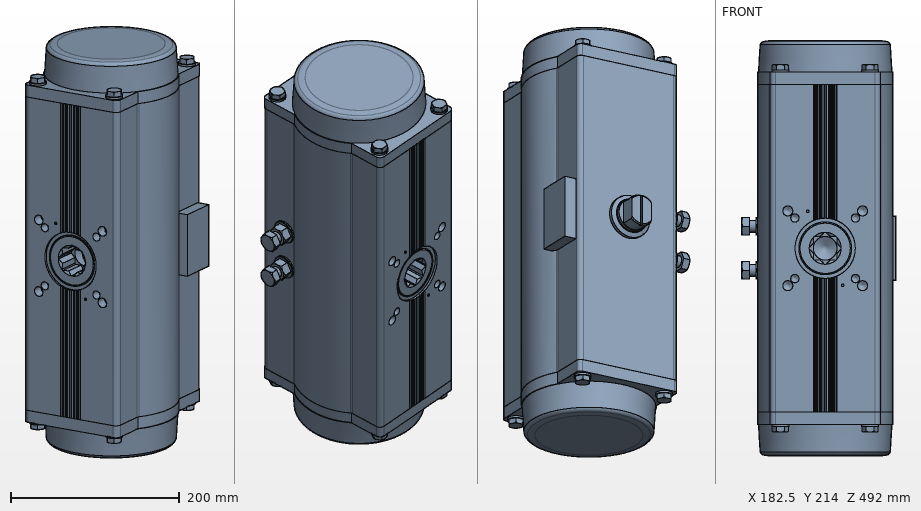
import cadquery as cq
import math


TOTAL_LENGTH = 492.0
HOUSING_LENGTH = 387.5
FLANGE_THICKNESS = 14.8

BARREL_RADIUS = 80.0
BACK_HALF_WIDTH = 68.5
FRONT_HALF_WIDTH = 65.5
BACK_Y = 92.0
FRONT_Y = -92.0
CORNER_RADIUS = 6.5
JOINT_RADIUS = 5.5

PAD_FACE_X = 83.5
PAD_LENGTH = 76.0
PAD_Y_MIN = 36.0
PAD_Y_MAX = 84.5

MIDDLE_GROOVE_WIDTH = 3.0
BAND_INNER_X = 4.0
BAND_OUTER_X = 14.0
BAND_GROOVE_COUNT = 4
GROOVE_DEPTH = 0.75

RECESS_DIAMETER = 71.5
RECESS_DEPTH = 3.0
OUTER_BOLT_OFFSET = 44.5
INNER_BOLT_OFFSET = 36.0
OUTER_BOLT_DIAMETER = 12.0
INNER_BOLT_DIAMETER = 10.0
BOLT_HOLE_DEPTH = 14.8
MARK_X = 20.5
MARK_Z = 44.0
MARK_DIAMETER = 3.0
MARK_DEPTH = 2.5
DRILL_POINT_ANGLE = 118.0

DOME_BASE_RADIUS = 79.0
DOME_RIM_RADIUS = 77.0
DOME_CROWN_RADIUS = 73.0
DOME_FLAT_RADIUS = 64.0
RIM_DROP = 5.0
CROWN_DROP = 1.0
CAP_CORNER_RADIUS = 5.0

SCREW_INSET = 12.5
SCREW_WASHER_DIAMETER = 20.0
SCREW_WASHER_THICKNESS = 2.5
SCREW_HEAD_CORNERS = 19.0
SCREW_HEAD_HEIGHT = 6.5
SCREW_HEAD_CHAMFER = 1.0

PINION_DIAMETER = 62.5
PINION_CHAMFER = 1.5
COLLAR_DIAMETER = 52.5
COLLAR_HEIGHT = 4.5
COLLAR_CONE_TOP = 7.0
COLLAR_CONE_DIAMETER = 42.0
SHOULDER_DIAMETER = 39.5
SHOULDER_TOP = 11.0
SHAFT_DIAMETER = 38.0
SHAFT_FLATS = 26.5
SHAFT_END_Y = 122.0
SHAFT_CHAMFER = 1.5
SLOT_WIDTH = 3.0
SLOT_DEPTH = 4.0
SOCKET_FLATS = 28.0
SOCKET_TIP_DIAMETER = 38.0
SOCKET_MOUTH_DEPTH = 3.0
SOCKET_DEPTH = 29.5

STOP_Y = 57.0
STOP_Z = 26.0
BOLT_END_X = -99.0
BOLT_DIAMETER = 14.5
BOLT_INSERTION = 19.5
HEAD_HEIGHT = 9.5
HEX_FLATS = 21.0
NUT_FLANGE_DIAMETER = 29.0
NUT_FLANGE_THICKNESS = 2.5
NUT_HEX_HEIGHT = 11.5
NUT_FLANGE_CHAMFER = 0.5

HOUSING_END_Z = HOUSING_LENGTH / 2
FLANGE_TOP_Z = HOUSING_END_Z + FLANGE_THICKNESS
CAP_END_Z = TOTAL_LENGTH / 2
RECESS_FLOOR_Y = FRONT_Y + RECESS_DEPTH
HEX_CORNERS = HEX_FLATS / math.cos(math.radians(30))
SIDES = (-1, 1)
TOLERANCE = 0.05


def cylinder_y(diameter, y_start, y_end, x=0, z=0):
    """Cylinder along Y between two Y positions."""
    plane = cq.Plane(origin=(x, y_start, z), xDir=(1, 0, 0), normal=(0, 1, 0))
    return cq.Workplane(plane).circle(diameter / 2).extrude(y_end - y_start)


def cylinder_x(diameter, x_start, x_end):
    """Cylinder along X on the axis of a travel stop."""
    plane = cq.Workplane("YZ", origin=(x_start, STOP_Y, 0))
    return plane.circle(diameter / 2).extrude(x_end - x_start)


def revolve_y(profile):
    """Solid of revolution about Y from (radius, y) points."""
    return cq.Workplane("XY").polyline(profile).close().revolve(360, (0, 0), (0, 1))


def drill_from_front(diameter, y_start, depth, x=0, z=0):
    """Tool for a blind hole along +Y that ends in a drill point."""
    radius = diameter / 2
    point_length = radius / math.tan(math.radians(DRILL_POINT_ANGLE / 2))
    profile = [(0, 0), (radius, 0), (radius, depth), (0, depth + point_length)]
    return revolve_y(profile).translate((x, y_start, z))


def cross_section_prism(z_start, z_end, back_corner_radius):
    """Barrel with a block on its back and on its front, extruded along Z."""
    length = z_end - z_start
    base = cq.Workplane("XY", origin=(0, 0, z_start))
    back = base.center(0, BACK_Y / 2).rect(2 * BACK_HALF_WIDTH, BACK_Y).extrude(length)
    front = base.center(0, FRONT_Y / 2).rect(2 * FRONT_HALF_WIDTH, -FRONT_Y).extrude(length)
    blocks = back.edges("|Z and >Y").fillet(back_corner_radius)
    blocks = blocks.union(front.edges("|Z and <Y").fillet(CORNER_RADIUS))
    return base.circle(BARREL_RADIUS).extrude(length).union(blocks)


def is_barrel_joint(edge):
    """True for the concave lengthwise edges where a block leaves the barrel."""
    middle = edge.Center()
    on_barrel = abs(math.hypot(middle.x, middle.y) - BARREL_RADIUS) < TOLERANCE
    half_widths = (BACK_HALF_WIDTH, FRONT_HALF_WIDTH)
    on_block_side = any(abs(abs(middle.x) - half_width) < TOLERANCE for half_width in half_widths)
    return on_barrel and on_block_side


def make_v_groove(x, width):
    """Tool for a V-groove along the whole front face."""
    points = [(x - width / 2, FRONT_Y), (x, FRONT_Y + GROOVE_DEPTH), (x + width / 2, FRONT_Y)]
    base = cq.Workplane("XY", origin=(0, 0, -HOUSING_END_Z))
    return base.polyline(points).close().extrude(HOUSING_LENGTH)


def cut_v_grooves(body):
    body = body.cut(make_v_groove(0, MIDDLE_GROOVE_WIDTH))
    pitch = (BAND_OUTER_X - BAND_INNER_X) / BAND_GROOVE_COUNT
    for sx in SIDES:
        for i in range(BAND_GROOVE_COUNT):
            body = body.cut(make_v_groove(sx * (BAND_INNER_X + (i + 0.5) * pitch), pitch))
    return body


def make_housing():
    body = cross_section_prism(-HOUSING_END_Z, HOUSING_END_Z, CORNER_RADIUS)
    body = body.edges("|Z").filter(is_barrel_joint).fillet(JOINT_RADIUS)

    pad_width = PAD_Y_MAX - PAD_Y_MIN
    pad = cq.Workplane("XY").box(PAD_FACE_X, pad_width, PAD_LENGTH, centered=(False, False, True))
    body = body.union(pad.translate((0, PAD_Y_MIN, 0)))

    body = cut_v_grooves(body)
    body = body.cut(cylinder_y(RECESS_DIAMETER, FRONT_Y, RECESS_FLOOR_Y))
    for sx in SIDES:
        for sz in SIDES:
            for diameter, offset in (
                (OUTER_BOLT_DIAMETER, OUTER_BOLT_OFFSET),
                (INNER_BOLT_DIAMETER, INNER_BOLT_OFFSET),
            ):
                hole = drill_from_front(diameter, FRONT_Y, BOLT_HOLE_DEPTH, sx * offset, sz * offset)
                body = body.cut(hole)
        body = body.cut(cylinder_y(MARK_DIAMETER, FRONT_Y, FRONT_Y + MARK_DEPTH, sx * MARK_X, -sx * MARK_Z))

    body = body.cut(cylinder_y(PINION_DIAMETER, RECESS_FLOOR_Y, 0))
    body = body.cut(cylinder_y(COLLAR_DIAMETER, 0, BACK_Y))
    for sz in SIDES:
        bore = cylinder_x(BOLT_DIAMETER, -BACK_HALF_WIDTH, -BACK_HALF_WIDTH + BOLT_INSERTION)
        seat = cylinder_x(NUT_FLANGE_DIAMETER, -BACK_HALF_WIDTH - NUT_FLANGE_THICKNESS, -BACK_HALF_WIDTH)
        body = body.cut(bore.union(seat).translate((0, 0, sz * STOP_Z)))
    return body


def make_cap_screw(x, y):
    washer = cq.Workplane("XY").circle(SCREW_WASHER_DIAMETER / 2).extrude(SCREW_WASHER_THICKNESS)
    height = SCREW_WASHER_THICKNESS + SCREW_HEAD_HEIGHT
    head = cq.Workplane("XY").polygon(6, SCREW_HEAD_CORNERS).extrude(height)
    envelope = cq.Workplane("XY").circle(SCREW_HEAD_CORNERS / 2).extrude(height)
    head = head.intersect(envelope.faces(">Z").chamfer(SCREW_HEAD_CHAMFER))
    return washer.union(head).translate((x, y, FLANGE_TOP_Z))


def make_cap():
    """Cap for the +Z end."""
    cap = cross_section_prism(HOUSING_END_Z, FLANGE_TOP_Z, CAP_CORNER_RADIUS)
    dome = (
        cq.Workplane("XZ")
        .moveTo(0, FLANGE_TOP_Z)
        .lineTo(0, CAP_END_Z)
        .lineTo(DOME_FLAT_RADIUS, CAP_END_Z)
        .tangentArcPoint((DOME_CROWN_RADIUS, CAP_END_Z - CROWN_DROP), relative=False)
        .tangentArcPoint((DOME_RIM_RADIUS, CAP_END_Z - RIM_DROP), relative=False)
        .lineTo(DOME_BASE_RADIUS, FLANGE_TOP_Z)
        .close()
        .revolve(360, (0, 0), (0, 1))
    )
    cap = cap.union(dome)
    for sx in SIDES:
        cap = cap.union(make_cap_screw(sx * (BACK_HALF_WIDTH - SCREW_INSET), BACK_Y - SCREW_INSET))
        cap = cap.union(make_cap_screw(sx * (FRONT_HALF_WIDTH - SCREW_INSET), FRONT_Y + SCREW_INSET))
    return cap


def make_socket():
    """Tool for the double-square socket, its tips cut to a circle, with a conical mouth and bottom."""
    depth_end = RECESS_FLOOR_Y + SOCKET_DEPTH
    square = cq.Workplane("XY").box(SOCKET_FLATS, SOCKET_DEPTH, SOCKET_FLATS, centered=(True, False, True))
    star = square.union(square.rotate((0, 0, 0), (0, 1, 0), 45)).translate((0, RECESS_FLOOR_Y, 0))
    star = star.intersect(cylinder_y(SOCKET_TIP_DIAMETER, RECESS_FLOOR_Y, depth_end))
    mouth_profile = [
        (0, 0),
        (SOCKET_TIP_DIAMETER / 2, 0),
        (SOCKET_FLATS / 2, SOCKET_MOUTH_DEPTH),
        (0, SOCKET_MOUTH_DEPTH),
    ]
    mouth = revolve_y(mouth_profile)
    tool = star.union(drill_from_front(SOCKET_FLATS, RECESS_FLOOR_Y, SOCKET_DEPTH))
    return tool.union(mouth.translate((0, RECESS_FLOOR_Y, 0)))


def make_pinion():
    body = cylinder_y(PINION_DIAMETER, RECESS_FLOOR_Y, 0).faces("<Y").chamfer(PINION_CHAMFER)
    collar_radius = COLLAR_DIAMETER / 2
    cone_radius = COLLAR_CONE_DIAMETER / 2
    shoulder_radius = SHOULDER_DIAMETER / 2
    collar = [
        (0, 0),
        (collar_radius, 0),
        (collar_radius, BACK_Y + COLLAR_HEIGHT),
        (cone_radius, BACK_Y + COLLAR_CONE_TOP),
        (shoulder_radius, BACK_Y + COLLAR_CONE_TOP),
        (shoulder_radius, BACK_Y + SHOULDER_TOP),
        (0, BACK_Y + SHOULDER_TOP),
    ]
    body = body.union(revolve_y(collar))

    shaft = cylinder_y(SHAFT_DIAMETER, BACK_Y, SHAFT_END_Y).faces(">Y").chamfer(SHAFT_CHAMFER)
    flats = cq.Workplane("XY").box(SHAFT_FLATS, 2 * SHAFT_END_Y, SHAFT_DIAMETER)
    slot = cq.Workplane("XY").box(SLOT_WIDTH, 2 * SLOT_DEPTH, SHAFT_DIAMETER)
    shaft = shaft.intersect(flats).cut(slot.translate((0, SHAFT_END_Y, 0)))
    return body.union(shaft).cut(make_socket())


def hexagon_x(x_start, height):
    """Hexagonal prism along +X, corners along Y, its -X end turned down to the width across flats."""
    prism = cq.Workplane("YZ", origin=(x_start, STOP_Y, 0)).polygon(6, HEX_CORNERS).extrude(height)
    chamfer = (HEX_CORNERS - HEX_FLATS) / 2
    envelope = cylinder_x(HEX_CORNERS, x_start, x_start + height).faces("<X").chamfer(chamfer)
    return prism.intersect(envelope)


def make_adjusting_bolt(z):
    head = hexagon_x(BOLT_END_X, HEAD_HEIGHT)
    shank = cylinder_x(BOLT_DIAMETER, BOLT_END_X, -BACK_HALF_WIDTH + BOLT_INSERTION)
    return head.union(shank).translate((0, 0, z))


def make_lock_nut(z):
    flange_x = -BACK_HALF_WIDTH - NUT_FLANGE_THICKNESS
    flange = cylinder_x(NUT_FLANGE_DIAMETER, flange_x, -BACK_HALF_WIDTH)
    flange = flange.faces("<X").chamfer(NUT_FLANGE_CHAMFER)
    nut = hexagon_x(flange_x - NUT_HEX_HEIGHT, NUT_HEX_HEIGHT).union(flange)
    bore = cylinder_x(BOLT_DIAMETER, BOLT_END_X, -BACK_HALF_WIDTH)
    return nut.cut(bore).translate((0, 0, z))


housing = make_housing()
top_cap = make_cap()
bottom_cap = top_cap.mirror("XY")
pinion = make_pinion()
adjusting_bolts = [make_adjusting_bolt(sz * STOP_Z) for sz in SIDES]
lock_nuts = [make_lock_nut(sz * STOP_Z) for sz in SIDES]

bodies = [housing, top_cap, bottom_cap, pinion] + adjusting_bolts + lock_nuts
result = cq.Compound.makeCompound([body.solids().val() for body in bodies])